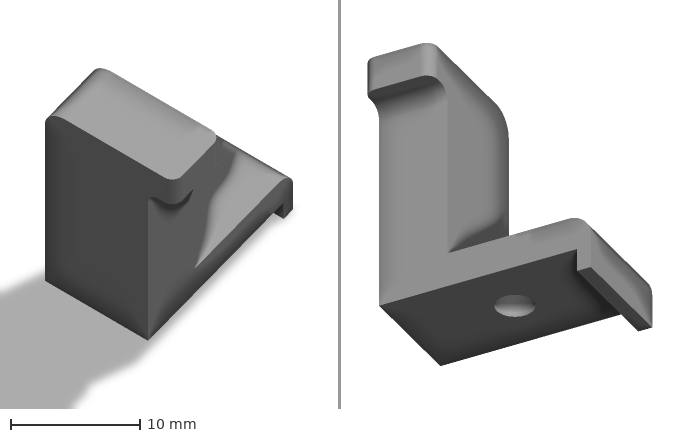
import cadquery as cq

height = 23.0
depth = 18.6
hook_reach_x = 12.58

body_width = 10.0
wall_thickness = 6.0
foot_underside_z = 2.0
foot_thickness = 3.0
lip_thickness = 1.22
outer_radius = 2.0

hook_thickness = 3.0
hook_corner_radius = 1.0
hook_root_radius = 1.1

hole_diameter = 3.2
hole_x = body_width / 2
hole_y = 9.25


def make_foot():
    """Foot with a rounded back edge and a lip that hangs below it."""
    foot_top_z = foot_underside_z + foot_thickness
    profile = (
        cq.Workplane("YZ")
        .moveTo(0, foot_underside_z)
        .lineTo(depth - lip_thickness, foot_underside_z)
        .lineTo(depth - lip_thickness, 0)
        .lineTo(depth, 0)
        .lineTo(depth, foot_top_z - outer_radius)
        .radiusArc((depth - outer_radius, foot_top_z), -outer_radius)
        .lineTo(0, foot_top_z)
        .close()
    )
    return profile.extrude(body_width)


def make_wall():
    """Upright wall with a rounded top edge and a hook toward +X."""
    hook_underside_z = height - hook_thickness
    wall = (
        cq.Workplane("XZ")
        .moveTo(0, foot_underside_z)
        .lineTo(body_width, foot_underside_z)
        .lineTo(body_width, hook_underside_z - hook_root_radius)
        .radiusArc((body_width + hook_root_radius, hook_underside_z), hook_root_radius)
        .lineTo(hook_reach_x, hook_underside_z)
        .lineTo(hook_reach_x, height)
        .lineTo(outer_radius, height)
        .radiusArc((0, height - outer_radius), -outer_radius)
        .close()
        .extrude(-wall_thickness)
    )
    return wall.faces(">X").edges("|Z").fillet(hook_corner_radius)


def make_hole():
    """Vertical cutter for the screw hole."""
    return (
        cq.Workplane("XY")
        .center(hole_x, hole_y)
        .circle(hole_diameter / 2)
        .extrude(height)
    )


result = make_foot().union(make_wall()).cut(make_hole())